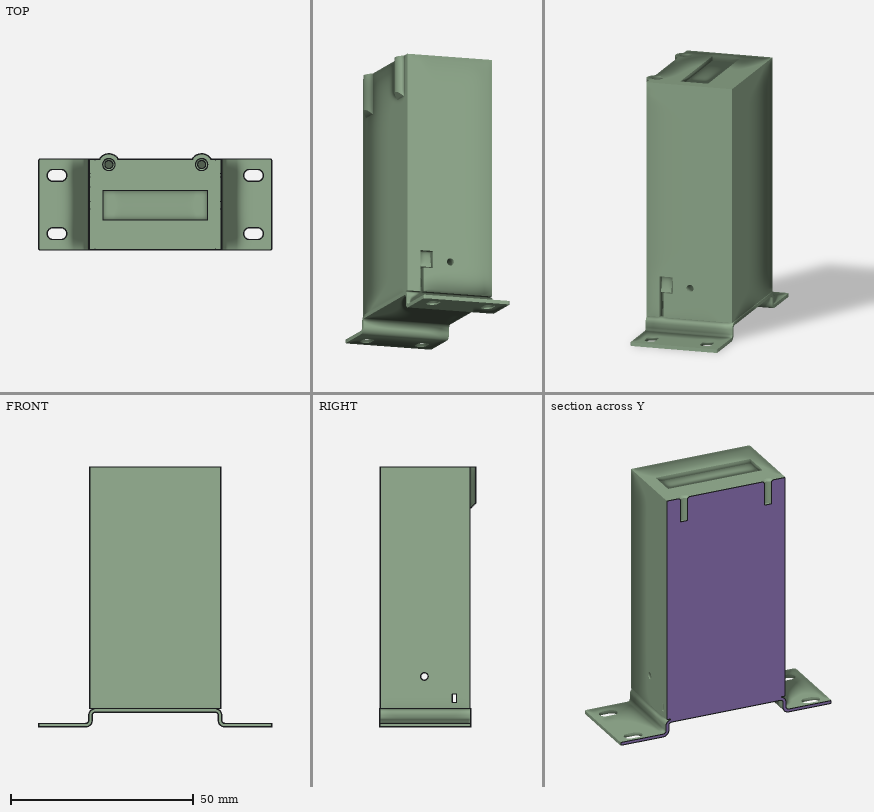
import cadquery as cq

total_height = 71.3
total_width = 26.45

bracket_length = 64.0
bracket_width = 25.05
bracket_height = 5.0
sheet = 1.0
hat_half_width = 18.25
inner_bend = 0.8
outer_bend = inner_bend + sheet
foot_corner_radius = 0.5

slot_length = 5.35
slot_width = 3.2
slot_pitch_x = 53.9
slot_pitch_y = 16.0

body_length = 36.0
body_width = 24.7
body_height = total_height - bracket_height
body_left = -body_length / 2
body_back = body_width / 2

boss_pitch = 25.5
boss_radius = 3.0
boss_back = total_width - bracket_width / 2
boss_y = boss_back - boss_radius
boss_height = 11.4
boss_overhang = boss_back - body_back
countersink_top_diameter = 3.35
countersink_depth = 0.6
screw_hole_diameter = 2.2
screw_hole_depth = 7.1

window_length = 28.7
window_width = 8.0
window_y = -0.2
window_depth = 1.3

cross_hole_diameter = 2.0
cross_hole_y = -0.2
cross_hole_z = 13.85

pocket_back = 8.55
pocket_width = 3.8
pocket_bottom = 11.8
pocket_height = 4.8
pocket_depth = 1.6
groove_width = 1.1
groove_depth = 2.15
opening_bottom = 6.7
opening_height = 2.3

tab_gap = 0.3
tab_width = 3.0
tab_height = pocket_height - 2 * tab_gap
tab_bottom_recess = 0.35
tab_top_recess = 1.35


def box(x, y, z, length, width, height):
    """Box given by its lowest corner and its size."""
    return cq.Workplane("XY").box(length, width, height, centered=False).translate((x, y, z))


def make_bracket():
    half_length = bracket_length / 2
    hat_inner = hat_half_width - sheet
    profile = [
        (-half_length, 0),
        (-hat_inner, 0),
        (-hat_inner, bracket_height - sheet),
        (hat_inner, bracket_height - sheet),
        (hat_inner, 0),
        (half_length, 0),
        (half_length, sheet),
        (hat_half_width, sheet),
        (hat_half_width, bracket_height),
        (-hat_half_width, bracket_height),
        (-hat_half_width, sheet),
        (-half_length, sheet),
    ]
    strip = cq.Workplane("XZ").polyline(profile).close().extrude(bracket_width / 2, both=True)

    pick = 0.1
    for x, z, radius in (
        (hat_inner, 0, outer_bend),
        (hat_half_width, sheet, inner_bend),
        (hat_half_width, bracket_height, outer_bend),
        (hat_inner, bracket_height - sheet, inner_bend),
    ):
        for side in (-1, 1):
            corner = cq.selectors.BoxSelector(
                (side * x - pick, -bracket_width, z - pick),
                (side * x + pick, bracket_width, z + pick),
            )
            strip = strip.edges(corner).fillet(radius)

    strip = strip.faces("<X or >X").edges("|Z").fillet(foot_corner_radius)
    slots = (
        cq.Workplane("XY")
        .rarray(slot_pitch_x, slot_pitch_y, 2, 2)
        .slot2D(slot_length, slot_width)
        .extrude(bracket_height)
    )
    return strip.cut(slots)


def make_boss(x):
    """Round boss whose underside slopes back into the wall at 45 degrees."""
    boss = (
        cq.Workplane("XY", origin=(x, boss_y, total_height - boss_height))
        .circle(boss_radius)
        .extrude(boss_height)
    )
    under = (
        cq.Workplane("YZ", origin=(x, body_back, total_height - boss_height))
        .polyline([(0, 0), (boss_overhang, 0), (boss_overhang, boss_overhang)])
        .close()
        .extrude(boss_radius, both=True)
    )
    return boss.cut(under)


def make_screw_hole(x):
    """Blind hole with a conical mouth, cut down into a boss."""
    hole_radius = screw_hole_diameter / 2
    profile = [
        (0, 0),
        (countersink_top_diameter / 2, 0),
        (hole_radius, -countersink_depth),
        (hole_radius, -screw_hole_depth),
        (0, -screw_hole_depth),
    ]
    hole = cq.Workplane("XZ").polyline(profile).close().revolve(360, (0, 0), (0, 1))
    return hole.translate((x, boss_y, total_height))


def make_tab():
    tab_bottom = pocket_bottom + tab_gap
    tab_top = tab_bottom + tab_height
    floor = body_left + pocket_depth
    outline = [
        (floor, tab_bottom),
        (body_left + tab_bottom_recess, tab_bottom),
        (body_left + tab_top_recess, tab_top),
        (floor, tab_top),
    ]
    return (
        cq.Workplane("XZ", origin=(0, pocket_back - tab_gap, 0))
        .polyline(outline)
        .close()
        .extrude(tab_width)
    )


def make_body():
    body = box(body_left, -body_width / 2, bracket_height, body_length, body_width, body_height)
    boss_places = (-boss_pitch / 2, boss_pitch / 2)
    for x in boss_places:
        body = body.union(make_boss(x))
    for x in boss_places:
        body = body.cut(make_screw_hole(x))

    window = box(
        -window_length / 2, window_y - window_width / 2, total_height - window_depth,
        window_length, window_width, window_depth,
    )
    cross_hole = (
        cq.Workplane("YZ", origin=(0, cross_hole_y, cross_hole_z))
        .circle(cross_hole_diameter / 2)
        .extrude(body_length, both=True)
    )
    pocket = box(
        body_left, pocket_back - pocket_width, pocket_bottom,
        pocket_depth, pocket_width, pocket_height,
    )
    groove_front = pocket_back - groove_width
    groove = box(
        body_left, groove_front, bracket_height,
        groove_depth, groove_width, pocket_bottom - bracket_height,
    )
    opening = box(
        body_left, groove_front, opening_bottom,
        body_length, groove_width, opening_height,
    )
    for cutter in (window, cross_hole, pocket, groove, opening):
        body = body.cut(cutter)
    return body.union(make_tab())


result = make_body().union(make_bracket())